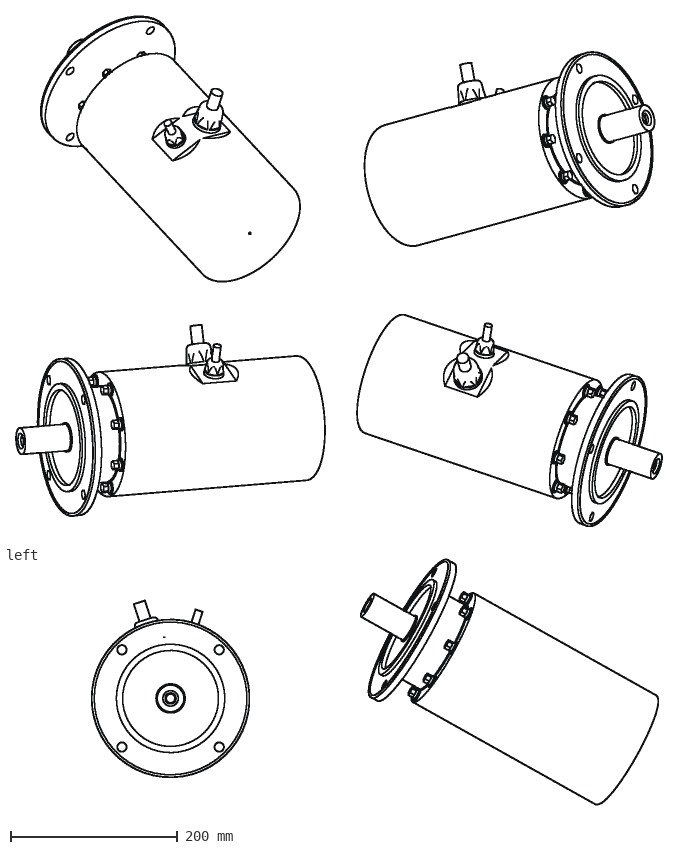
import cadquery as cq
import math

SPIGOT_X = 54.2
RIM_CREST_X = 57.0
FLANGE_X = 58.2
RIM_EDGE_X = 59.7
FLANGE_BACK_X = 67.7
HOUSING_X = 106.0
HOUSING_END_X = 363.0
REAR_PIP_X = 364.0

SHAFT_D = 32.0
SHAFT_COLLAR_D = 35.0
SHAFT_COLLAR_BORE_D = 33.5
SHAFT_COLLAR_HEIGHT = 2.0
SPIGOT_D = 130.0
SPIGOT_RECESS_D = 115.0
SPIGOT_RECESS_DEPTH = 5.0
FLANGE_D = 189.0
FLANGE_FACE_D = 183.0
NECK_D = 115.0
NECK_FOOT_D = 117.2
NECK_FOOT_HEIGHT = 1.0
NECK_FILLET = 9.5
HOUSING_D = 150.0
HOUSING_EDGE_RADIUS = 3.3
REAR_PIP_D = 2.2

COUNTERSINK_D = 18.5
CENTRE_BORE_D = 13.0
CENTRE_BORE_DEPTH = 6.0
CORE_HOLE_D = 10.5
CORE_HOLE_DEPTH = 29.0
DRILL_POINT_ANGLE = 118

MOUNT_HOLE_D = 11.0
MOUNT_HOLE_COUNT = 4
MOUNT_CIRCLE_D = 165.0

SCREW_COUNT = 8
SCREW_CIRCLE_D = 130.0
SCREW_HEAD_D = 11.3
SCREW_HEAD_X = 95.5
SCREW_HEX_HEIGHT = 6.0
WASHER_D = 16.0
WASHER_THICKNESS = 1.5

GLAND_X = 239.0
GLAND_TILT = 18
FLAT_HEIGHT = 72.0
FLAT_LENGTH = 43.0
FLAT_RAMP_ANGLE = 20
HEX_SIDES = 6


def axial_cylinder(diameter, start_x, end_x):
    """Cylinder along X, centred on the motor axis."""
    return cq.Workplane("YZ", origin=(start_x, 0, 0)).circle(diameter / 2).extrude(end_x - start_x)


def motor_blank():
    """Shaft, flange, neck and housing turned about the motor axis."""
    spigot = axial_cylinder(SPIGOT_D, SPIGOT_X, FLANGE_X)
    recess_floor_x = SPIGOT_X + SPIGOT_RECESS_DEPTH
    recess = axial_cylinder(SPIGOT_RECESS_D, SPIGOT_X, recess_floor_x)
    collar_x = recess_floor_x - SHAFT_COLLAR_HEIGHT
    collar = axial_cylinder(SHAFT_COLLAR_D, collar_x, recess_floor_x)
    collar = collar.cut(axial_cylinder(SHAFT_COLLAR_BORE_D, collar_x, recess_floor_x))
    shaft = axial_cylinder(SHAFT_D, 0, FLANGE_BACK_X)
    neck_foot = axial_cylinder(NECK_FOOT_D, HOUSING_X - NECK_FOOT_HEIGHT, HOUSING_X)
    housing = axial_cylinder(HOUSING_D, HOUSING_X, HOUSING_END_X)
    housing = housing.faces(">X").edges().fillet(HOUSING_EDGE_RADIUS)
    pip = axial_cylinder(REAR_PIP_D, HOUSING_END_X, REAR_PIP_X)
    blank = flange_disc().union(spigot).cut(recess)
    for piece in (neck(), neck_foot, housing, collar, shaft, pip):
        blank = blank.union(piece)
    return blank


def flange_disc():
    """Flange disc with a rounded bead that stands proud of its face along the rim."""
    rim_radius = FLANGE_D / 2
    face_radius = FLANGE_FACE_D / 2
    return (
        cq.Workplane("XY")
        .moveTo(FLANGE_X, 0)
        .lineTo(FLANGE_X, face_radius)
        .threePointArc((RIM_CREST_X, (face_radius + rim_radius) / 2), (RIM_EDGE_X, rim_radius))
        .lineTo(FLANGE_BACK_X, rim_radius)
        .lineTo(FLANGE_BACK_X, 0)
        .close()
        .revolve(360, (0, 0, 0), (1, 0, 0))
    )


def neck():
    """Neck between flange and housing, flared into the flange."""
    radius = NECK_D / 2
    flare_radius = radius + NECK_FILLET
    flare_end_x = FLANGE_BACK_X + NECK_FILLET
    diagonal = NECK_FILLET * math.sqrt(0.5)
    return (
        cq.Workplane("XY")
        .moveTo(FLANGE_BACK_X, 0)
        .lineTo(FLANGE_BACK_X, flare_radius)
        .threePointArc((flare_end_x - diagonal, flare_radius - diagonal), (flare_end_x, radius))
        .lineTo(HOUSING_X, radius)
        .lineTo(HOUSING_X, 0)
        .close()
        .revolve(360, (0, 0, 0), (1, 0, 0))
    )


def shaft_centre_hole():
    """Countersunk, stepped blind hole with a drill point, in the shaft tip."""
    bore = CENTRE_BORE_D / 2
    core = CORE_HOLE_D / 2
    mouth = COUNTERSINK_D / 2
    point_depth = core / math.tan(math.radians(DRILL_POINT_ANGLE / 2))
    return (
        cq.Workplane("XY")
        .polyline([
            (0, 0),
            (0, mouth),
            (mouth - bore, bore),
            (CENTRE_BORE_DEPTH, bore),
            (CENTRE_BORE_DEPTH, core),
            (CORE_HOLE_DEPTH, core),
            (CORE_HOLE_DEPTH + point_depth, 0),
        ])
        .close()
        .revolve(360, (0, 0, 0), (1, 0, 0))
    )


def mounting_holes():
    """Through holes of the flange, on the diagonals."""
    return (
        cq.Workplane("YZ", origin=(FLANGE_X, 0, 0))
        .polarArray(MOUNT_CIRCLE_D / 2, 180 / MOUNT_HOLE_COUNT, 360, MOUNT_HOLE_COUNT)
        .circle(MOUNT_HOLE_D / 2)
        .extrude(FLANGE_BACK_X - FLANGE_X)
    )


def housing_screws():
    """Hexagon heads on washers around the neck, each with a corner pointing up."""
    washer_x = HOUSING_X - WASHER_THICKNESS
    start_angle = 180 / SCREW_COUNT
    washers = (
        cq.Workplane("YZ", origin=(washer_x, 0, 0))
        .polarArray(SCREW_CIRCLE_D / 2, start_angle, 360, SCREW_COUNT, rotate=False)
        .circle(WASHER_D / 2)
        .extrude(WASHER_THICKNESS)
    )
    head = (
        cq.Workplane("YZ", origin=(SCREW_HEAD_X, 0, 0))
        .polygon(HEX_SIDES, SCREW_HEAD_D)
        .extrude(SCREW_HEX_HEIGHT)
        .rotate((0, 0, 0), (1, 0, 0), 90)
        .union(axial_cylinder(SCREW_HEAD_D, SCREW_HEAD_X + SCREW_HEX_HEIGHT, washer_x))
    )
    screws = washers
    for i in range(SCREW_COUNT):
        angle = math.radians(start_angle + i * 360 / SCREW_COUNT)
        y = SCREW_CIRCLE_D / 2 * math.cos(angle)
        z = SCREW_CIRCLE_D / 2 * math.sin(angle)
        screws = screws.union(head.translate((0, y, z)))
    return screws


def place_gland(shape, tilt):
    """Move a shape built upright about the Z axis to the gland station, tilted about the motor axis."""
    return shape.translate((GLAND_X, 0, 0)).rotate((0, 0, 0), (1, 0, 0), tilt)


def gland_flat_cut():
    """Upright trapezoidal cut: flat floor with a ramp at each end."""
    half_floor = FLAT_LENGTH / 2
    clear_height = HOUSING_D / 2 - FLAT_HEIGHT
    half_top = half_floor + clear_height / math.tan(math.radians(FLAT_RAMP_ANGLE))
    return (
        cq.Workplane("XZ")
        .polyline([
            (-half_floor, FLAT_HEIGHT),
            (half_floor, FLAT_HEIGHT),
            (half_top, HOUSING_D / 2),
            (-half_top, HOUSING_D / 2),
        ])
        .close()
        .extrude(HOUSING_D / 2, both=True)
    )


def build_motor():
    """Motor with its shaft, flange and screws, and a flat for each gland."""
    motor = motor_blank().cut(shaft_centre_hole()).cut(mounting_holes()).union(housing_screws())
    for tilt in (-GLAND_TILT, GLAND_TILT):
        motor = motor.cut(place_gland(gland_flat_cut(), tilt))
    return motor


def build_gland(base_d, top_d, ledge_z, top_z, crown_radius, hex_width, cable_d, cable_z, tilt):
    """Cable gland with its cable: tapered, round-topped nut with six wrench flats above a ledge."""
    height = top_z - FLAT_HEIGHT
    nut = (
        cq.Workplane("XY", origin=(0, 0, FLAT_HEIGHT))
        .circle(base_d / 2)
        .workplane(offset=height)
        .circle(top_d / 2)
        .loft()
        .faces(">Z")
        .edges()
        .fillet(crown_radius)
    )
    hex_corner_d = hex_width / math.cos(math.pi / HEX_SIDES)
    hex_outside = (
        cq.Workplane("XY", origin=(0, 0, ledge_z))
        .circle(base_d)
        .polygon(HEX_SIDES, hex_corner_d)
        .extrude(height)
        .rotate((0, 0, 0), (0, 0, 1), 90)
    )
    cable = cq.Workplane("XY", origin=(0, 0, FLAT_HEIGHT)).circle(cable_d / 2).extrude(cable_z - FLAT_HEIGHT)
    return place_gland(nut.cut(hex_outside).union(cable), tilt)


motor = build_motor()
power_gland = build_gland(
    base_d=34.2,
    top_d=28.0,
    ledge_z=76.0,
    top_z=99.0,
    crown_radius=5.0,
    hex_width=30.0,
    cable_d=14.2,
    cable_z=121.2,
    tilt=-GLAND_TILT,
)
signal_gland = build_gland(
    base_d=24.0,
    top_d=18.5,
    ledge_z=75.7,
    top_z=90.5,
    crown_radius=4.5,
    hex_width=19.5,
    cable_d=9.0,
    cable_z=110.5,
    tilt=GLAND_TILT,
)

result = cq.Compound.makeCompound([motor.val(), power_gland.val(), signal_gland.val()])